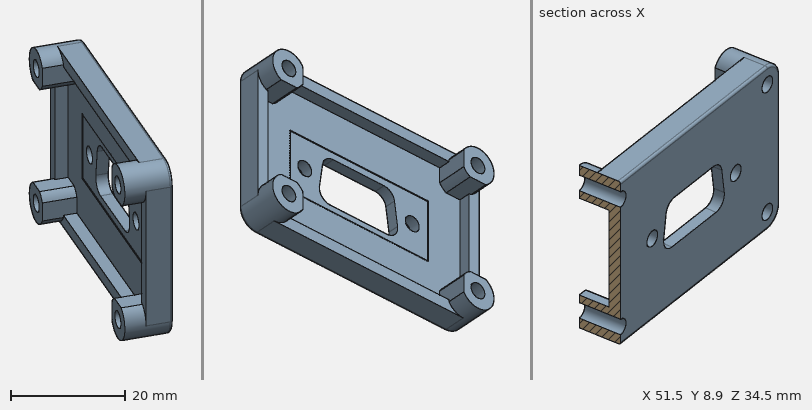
import cadquery as cq
import math

length = 51.5
height = 34.5
total_depth = 8.9
corner_radius = 3.75
edge_fillet = 0.5

post_standoff = 3.9
wall = 2.35
floor_thickness = 2.5

post_size = 7.05
screw_diameter = 3.2
post_x = length / 2 - corner_radius
post_z = height / 2 - corner_radius

seat_length = 32.15
seat_height = 12.95
seat_depth = 0.2
window_height = 10.1
window_mid_width = 17.5
window_side_angle = 8.0
window_radius = 2.45
connector_hole_spacing = 25.05

rim_y = post_standoff
back_y = total_depth
floor_y = back_y - floor_thickness


def section(y):
    """Sketch plane at depth y, with local axes X, Z and normal -Y."""
    return cq.Workplane("XZ", origin=(0, y, 0))


def make_plate():
    depth = back_y - rim_y
    plate = section(back_y).rect(length, height).extrude(depth)
    plate = plate.edges("|Y").fillet(corner_radius)
    return plate.faces(">Y").edges().fillet(edge_fillet)


def make_cavity():
    depth = floor_y - rim_y
    return section(floor_y).rect(length - 2 * wall, height - 2 * wall).extrude(depth)


def make_post(side_x, side_z, top_y):
    """Round post flattened on its two inner sides, from its free end at y = 0 up to top_y.

    The outer quarter arc ends where the plate's straight sides begin.
    """
    radius = corner_radius
    flat = post_size - radius
    flat_half = math.sqrt(radius**2 - flat**2)
    diagonal = radius * math.sqrt(0.5)

    def at(u, v):
        """Point u and v outward from the post centre."""
        return side_x * (post_x + u), side_z * (post_z + v)

    side_angle = (math.pi / 2 - math.acos(flat / radius)) / 2
    bulge = radius * math.sin(side_angle)
    crown = radius * math.cos(side_angle)
    profile = (
        section(top_y)
        .moveTo(*at(radius, 0))
        .threePointArc(at(diagonal, diagonal), at(0, radius))
        .threePointArc(at(-bulge, crown), at(-flat, flat_half))
        .lineTo(*at(-flat, -flat_half))
        .threePointArc(at(-diagonal, -diagonal), at(-flat_half, -flat))
        .lineTo(*at(flat_half, -flat))
        .threePointArc(at(crown, -bulge), at(radius, 0))
        .close()
    )
    return profile.extrude(top_y)


def make_window():
    """Rounded D-shaped opening, wider at the bottom."""
    half_height = window_height / 2
    side_shift = half_height * math.tan(math.radians(window_side_angle))
    top = window_mid_width / 2 - side_shift
    bottom = window_mid_width / 2 + side_shift
    outline = [(-bottom, -half_height), (bottom, -half_height), (top, half_height), (-top, half_height)]
    window = section(back_y).polyline(outline).close().extrude(back_y)
    return window.edges("|Y").fillet(window_radius)


def make_holes(points):
    return section(back_y).pushPoints(points).circle(screw_diameter / 2).extrude(back_y)


corners = [(x, z) for x in (-1, 1) for z in (-1, 1)]
corner_points = [(x * post_x, z * post_z) for x, z in corners]
connector_points = [(x * connector_hole_spacing / 2, 0) for x in (-1, 1)]

cavity = make_cavity()
for side_x, side_z in corners:
    cavity = cavity.cut(make_post(side_x, side_z, back_y))

result = make_plate().cut(cavity)
for side_x, side_z in corners:
    result = result.union(make_post(side_x, side_z, rim_y))

seat = section(floor_y + seat_depth).rect(seat_length, seat_height).extrude(seat_depth)
result = result.cut(seat).cut(make_window()).cut(make_holes(corner_points + connector_points))